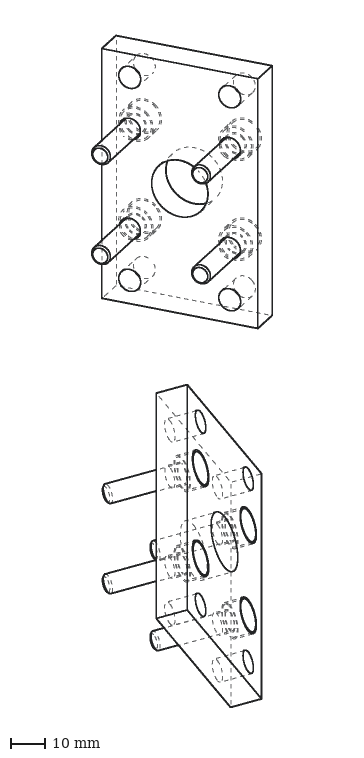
import cadquery as cq

PLATE_WIDTH = 50.0
PLATE_THICKNESS = 10.0
PLATE_HEIGHT = 80.0
CENTRE_BORE_DIAMETER = 18.0

COLUMN_SPACING = 32.0
CORNER_ROW_SPACING = 65.0
CORNER_HOLE_DIAMETER = 7.0
SCREW_ROW_SPACING = 32.0
SCREW_HOLE_DIAMETER = 6.8
COUNTERBORE_DIAMETER = 11.0

SHANK_DIAMETER = 6.0
SHANK_PROTRUSION = 20.5
TIP_CHAMFER = 0.6
HEAD_DIAMETER = 10.0
HEAD_HEIGHT = SHANK_DIAMETER
SHANK_LENGTH = PLATE_THICKNESS - HEAD_HEIGHT + SHANK_PROTRUSION


def four_points(row_spacing):
    """X, Z corners of a rectangle about the plate centre."""
    half_column = COLUMN_SPACING / 2
    half_row = row_spacing / 2
    return [(x, z) for x in (-half_column, half_column) for z in (-half_row, half_row)]


def cylinders_from_back(points, diameter, depth):
    """Cylinders running from the back face toward -Y at the given X, Z points."""
    back_face = cq.Workplane("XZ", origin=(0, PLATE_THICKNESS, 0))
    return back_face.pushPoints(points).circle(diameter / 2).extrude(depth)


def make_plate():
    """Rectangular plate with a centre bore, corner holes and counterbored screw holes."""
    corner_points = four_points(CORNER_ROW_SPACING)
    screw_points = four_points(SCREW_ROW_SPACING)
    body = cq.Workplane("XY").box(PLATE_WIDTH, PLATE_THICKNESS, PLATE_HEIGHT, centered=(True, False, True))
    body = body.cut(cylinders_from_back([(0, 0)], CENTRE_BORE_DIAMETER, PLATE_THICKNESS))
    body = body.cut(cylinders_from_back(corner_points, CORNER_HOLE_DIAMETER, PLATE_THICKNESS))
    body = body.cut(cylinders_from_back(screw_points, SCREW_HOLE_DIAMETER, PLATE_THICKNESS))
    return body.cut(cylinders_from_back(screw_points, COUNTERBORE_DIAMETER, HEAD_HEIGHT))


def make_screw(x, z):
    """Screw pointing toward -Y: cylindrical head, plain shank and chamfered tip."""
    head = cylinders_from_back([(x, z)], HEAD_DIAMETER, HEAD_HEIGHT)
    seat = head.faces("<Y").workplane(centerOption="CenterOfMass")
    screw = seat.circle(SHANK_DIAMETER / 2).extrude(SHANK_LENGTH)
    return screw.faces("<Y").chamfer(TIP_CHAMFER)


plate = make_plate()
screws = [make_screw(x, z) for x, z in four_points(SCREW_ROW_SPACING)]

result = cq.Compound.makeCompound([plate.val(), *[screw.val() for screw in screws]])